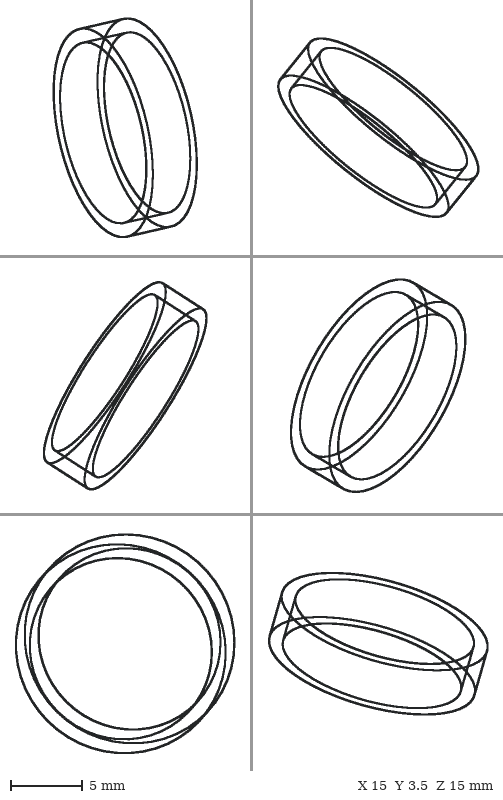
import cadquery as cq

outer_diameter = 15.0
wall_thickness = 1.0
ring_width = 3.5

inner_diameter = outer_diameter - 2 * wall_thickness

result = (
    cq.Workplane("XZ", origin=(0, ring_width / 2, 0))
    .circle(outer_diameter / 2)
    .circle(inner_diameter / 2)
    .extrude(ring_width)
)